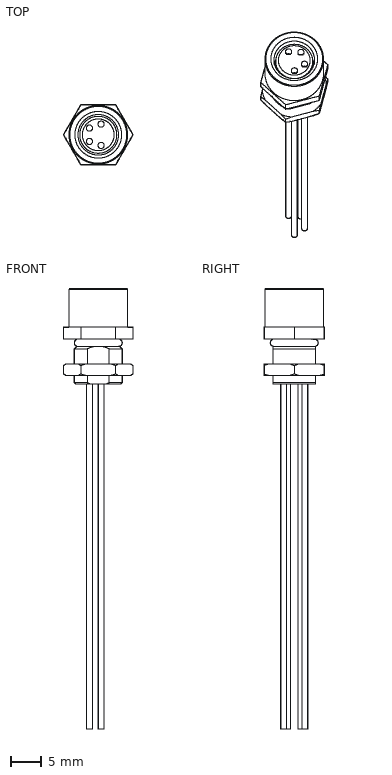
import cadquery as cq
import math

TOTAL_LENGTH = 73.0
CAP_LENGTH = 6.4
HEX_THICKNESS = 2.0
SEAL_THICKNESS = 1.25
SEAL_OVERLAP = 0.1
BODY_LENGTH = 6.3
NUT_HEIGHT_ON_BODY = 1.4

CAP_BOTTOM = TOTAL_LENGTH - CAP_LENGTH
FLANGE_BOTTOM = CAP_BOTTOM - HEX_THICKNESS
SEAL_BOTTOM = FLANGE_BOTTOM - SEAL_THICKNESS
BODY_TOP = SEAL_BOTTOM + SEAL_OVERLAP
BODY_BOTTOM = BODY_TOP - BODY_LENGTH
NUT_BOTTOM = BODY_BOTTOM + NUT_HEIGHT_ON_BODY

HEX_ACROSS_FLATS = 10.0
HEX_ACROSS_CORNERS = HEX_ACROSS_FLATS / math.cos(math.radians(30))
NUT_CORNER_BEVEL_WIDTH = 0.45
NUT_CORNER_BEVEL_HEIGHT = 0.3

CAP_DIAMETER = 9.7
RIM_BEVEL = 0.15
MOUTH_DIAMETER = 7.75
MOUTH_BEVEL_HEIGHT = 0.45
BORE_DIAMETER = 6.7
SOCKET_DEPTH = 3.65

INSERT_RECESS = 0.65
INSERT_DIAMETER = 6.1
INSERT_BEVEL = 0.45

BODY_DIAMETER = 7.95
BODY_ACROSS_FLATS = 7.1
BODY_TOP_BEVEL = 0.45
BODY_BOTTOM_BEVEL = 0.2
NECK_DIAMETER = 6.7

CONTACT_DIAMETER = 1.0
CONTACT_DEPTH = 2.2
CONTACT_CIRCLE_RADIUS = 1.8
CONTACT_ANGLES = (75, 143, -143, -75)
CONTACT_POINTS = [
    (
        CONTACT_CIRCLE_RADIUS * math.cos(math.radians(angle)),
        CONTACT_CIRCLE_RADIUS * math.sin(math.radians(angle)),
    )
    for angle in CONTACT_ANGLES
]


def plane_at(height):
    return cq.Workplane("XY").workplane(offset=height)


def cylinder(diameter, bottom, top):
    return plane_at(bottom).circle(diameter / 2).extrude(top - bottom)


def hexagon(bottom):
    return plane_at(bottom).polygon(6, HEX_ACROSS_CORNERS).extrude(HEX_THICKNESS)


def make_cap():
    socket_bottom = TOTAL_LENGTH - SOCKET_DEPTH
    bevel_bottom = TOTAL_LENGTH - MOUTH_BEVEL_HEIGHT
    mouth_bevel = (
        plane_at(bevel_bottom)
        .circle(BORE_DIAMETER / 2)
        .workplane(offset=MOUTH_BEVEL_HEIGHT)
        .circle(MOUTH_DIAMETER / 2)
        .loft()
    )
    cap = cylinder(CAP_DIAMETER, CAP_BOTTOM, TOTAL_LENGTH).faces(">Z").chamfer(RIM_BEVEL)
    cap = cap.cut(cylinder(BORE_DIAMETER, socket_bottom, TOTAL_LENGTH)).cut(mouth_bevel)
    return cap.union(make_insert(socket_bottom))


def make_insert(bottom):
    top = TOTAL_LENGTH - INSERT_RECESS
    insert = cylinder(INSERT_DIAMETER, bottom, top).faces(">Z").chamfer(INSERT_BEVEL)
    contacts = plane_at(top).pushPoints(CONTACT_POINTS).circle(CONTACT_DIAMETER / 2).extrude(-CONTACT_DEPTH)
    return insert.cut(contacts)


def make_body():
    body = cylinder(BODY_DIAMETER, BODY_BOTTOM, BODY_TOP)
    body = body.faces(">Z").chamfer(BODY_TOP_BEVEL).faces("<Z").chamfer(BODY_BOTTOM_BEVEL)
    flats = plane_at(BODY_BOTTOM).rect(BODY_DIAMETER, BODY_ACROSS_FLATS).extrude(BODY_LENGTH)
    return body.intersect(flats)


def make_seal():
    seat_radius = NECK_DIAMETER / 2
    seal_outside = (seat_radius + SEAL_THICKNESS / 2, SEAL_BOTTOM + SEAL_THICKNESS / 2)
    half_section = (
        cq.Workplane("XZ")
        .moveTo(0, SEAL_BOTTOM)
        .lineTo(seat_radius, SEAL_BOTTOM)
        .threePointArc(seal_outside, (seat_radius, FLANGE_BOTTOM))
        .lineTo(0, FLANGE_BOTTOM)
        .close()
    )
    return half_section.revolve(360, (0, 0, 0), (0, 1, 0))


def make_nut():
    nut_top = NUT_BOTTOM + HEX_THICKNESS
    corner_bevels = (
        cylinder(HEX_ACROSS_CORNERS, NUT_BOTTOM, nut_top)
        .faces("<Z or >Z")
        .chamfer(NUT_CORNER_BEVEL_HEIGHT, NUT_CORNER_BEVEL_WIDTH)
    )
    return hexagon(NUT_BOTTOM).intersect(corner_bevels)


def make_wires():
    return cq.Workplane("XY").pushPoints(CONTACT_POINTS).circle(CONTACT_DIAMETER / 2).extrude(BODY_BOTTOM)


result = (
    make_cap()
    .union(hexagon(FLANGE_BOTTOM))
    .union(make_seal())
    .union(make_body())
    .union(make_nut())
    .union(make_wires())
)